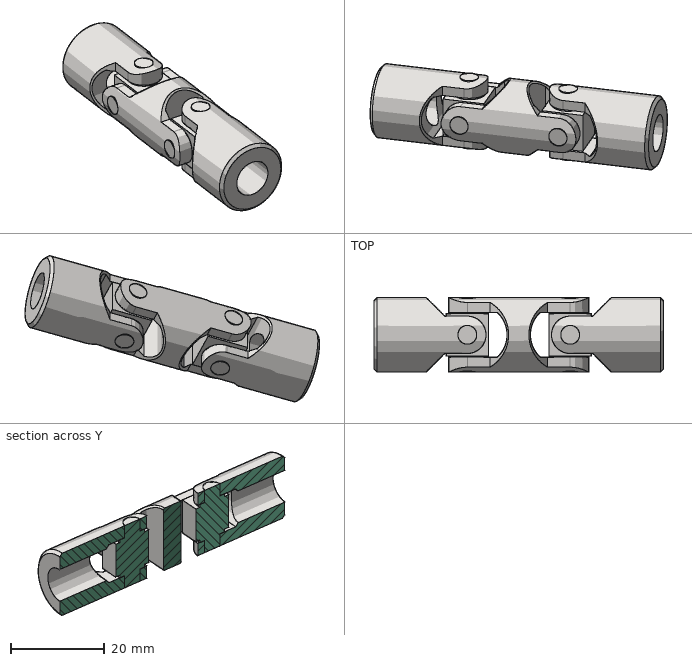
import cadquery as cq


LENGTH = 62.0
BODY_DIAMETER = 16.0
BORE_DIAMETER = 8.0
END_CHAMFER = 0.7
JOINT_SPACING = 22.0

ARM_WIDTH = 8.0
ARM_GAP = 9.55
SHOULDER_DISTANCE = 4.85
SLOT_FLOOR_DISTANCE = 8.5
SLOT_FLOOR_RADIUS = 6.5

PIN_DIAMETER = 4.0
PIN_LENGTH = BODY_DIAMETER
BLOCK_WIDTH = 9.1
BLOCK_HEIGHT = 8.45
BOSS_DIAMETER = 7.0

BODY_RADIUS = BODY_DIAMETER / 2
JOINT_OFFSET = JOINT_SPACING / 2
ARM_RADIUS = ARM_WIDTH / 2
MIDDLE_LENGTH = 2 * (JOINT_OFFSET + ARM_RADIUS)
END_YOKE_LENGTH = LENGTH / 2 - JOINT_OFFSET + ARM_RADIUS
X_AXIS = cq.Vector(1, 0, 0)
ORIGIN = cq.Vector(0, 0, 0)


def rod(start_x, length, diameter):
    """Round bar along X."""
    return cq.Workplane("YZ").workplane(offset=start_x).circle(diameter / 2).extrude(length)


def fork_slot():
    """Gap between the arms: open towards +X, round floor at -X, running through along Y."""
    half_gap = ARM_GAP / 2
    floor_centre = SLOT_FLOOR_RADIUS - SLOT_FLOOR_DISTANCE
    corner_x = floor_centre - (SLOT_FLOOR_RADIUS**2 - half_gap**2) ** 0.5
    return (
        cq.Workplane("XZ")
        .moveTo(BODY_DIAMETER, -half_gap)
        .lineTo(corner_x, -half_gap)
        .threePointArc((-SLOT_FLOOR_DISTANCE, 0), (corner_x, half_gap))
        .lineTo(BODY_DIAMETER, half_gap)
        .close()
        .extrude(BODY_RADIUS, both=True)
    )


def arm_side_relief():
    """Material beside the arms: flat arm side, round arm tip and 45 degree shoulder."""
    outer_y = BODY_DIAMETER
    shoulder_end_x = -SHOULDER_DISTANCE - (outer_y - ARM_RADIUS)
    return (
        cq.Workplane("XY")
        .moveTo(-SHOULDER_DISTANCE, ARM_RADIUS)
        .lineTo(0, ARM_RADIUS)
        .threePointArc((ARM_RADIUS, 0), (0, -ARM_RADIUS))
        .lineTo(-SHOULDER_DISTANCE, -ARM_RADIUS)
        .lineTo(shoulder_end_x, -outer_y)
        .lineTo(BODY_DIAMETER, -outer_y)
        .lineTo(BODY_DIAMETER, outer_y)
        .lineTo(shoulder_end_x, outer_y)
        .close()
        .extrude(BODY_RADIUS, both=True)
    )


def pin_hole():
    """Hole for the cross pin through both arms."""
    return cq.Workplane("XY").circle(PIN_DIAMETER / 2).extrude(BODY_RADIUS, both=True)


def fork_cut():
    """Everything removed to form a fork with arms at +Z and -Z around a joint at the origin."""
    return fork_slot().union(arm_side_relief()).union(pin_hole())


def make_end_yoke():
    """Bored end yoke on the -X side, its arms above and below the joint."""
    body = rod(-LENGTH / 2, END_YOKE_LENGTH, BODY_DIAMETER).faces("<X").chamfer(END_CHAMFER)
    bore = rod(-LENGTH / 2, LENGTH / 2 - JOINT_OFFSET, BORE_DIAMETER)
    return body.cut(bore).cut(fork_cut().translate((-JOINT_OFFSET, 0, 0)))


def make_middle_yoke():
    """Double yoke with its arms in front of and behind both joints."""
    body = rod(-MIDDLE_LENGTH / 2, MIDDLE_LENGTH, BODY_DIAMETER)
    right_cut = fork_cut().rotate(ORIGIN, X_AXIS, 90).translate((JOINT_OFFSET, 0, 0))
    return body.cut(right_cut).cut(right_cut.mirror("YZ"))


def make_cross(joint_x):
    """Cross block with a boss and a pin towards each of the four arms."""
    cross = cq.Workplane("XY").box(BLOCK_WIDTH, BLOCK_WIDTH, BLOCK_HEIGHT)
    for plane in ("XY", "XZ"):
        boss = cq.Workplane(plane).circle(BOSS_DIAMETER / 2).extrude(ARM_GAP / 2, both=True)
        pin = cq.Workplane(plane).circle(PIN_DIAMETER / 2).extrude(PIN_LENGTH / 2, both=True)
        cross = cross.union(boss).union(pin)
    return cross.translate((joint_x, 0, 0))


left_yoke = make_end_yoke()
end_yokes = [left_yoke, left_yoke.mirror("YZ")]
middle_yoke = make_middle_yoke()
crosses = [make_cross(joint_x) for joint_x in (-JOINT_OFFSET, JOINT_OFFSET)]

result = cq.Compound.makeCompound([body.val() for body in (*end_yokes, middle_yoke, *crosses)])